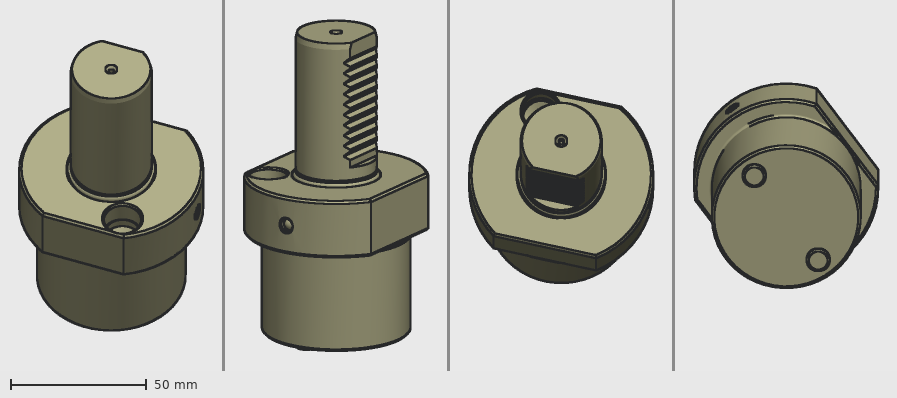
import cadquery as cq
import math


SHANK_DIAMETER = 30.0
SHANK_LENGTH = 55.0
SHANK_TIP_HEIGHT = 2.3
SHANK_TIP_INSET = 0.6
NECK_DEPTH = 0.2
NECK_BOTTOM = 1.4
NECK_TOP = 2.1
RACK_FLAT_Y = 12.0
RACK_FLAT_BOTTOM = 7.0
TOOTH_COUNT = 10
RACK_SPAN = 36.0
TOOTH_PITCH = RACK_SPAN / (TOOTH_COUNT - 1)
TOOTH_DEPTH = 1.6
FIRST_TOOTH_Z = 11.5

CENTRE_MOUTH_DIAMETER = 4.4
CENTRE_BORE_DIAMETER = 2.1
CENTRE_CONE_ANGLE = 90
CENTRE_DEPTH = 4.7

FLANGE_DIAMETER = 68.0
FLANGE_HEIGHT = 21.9
FLANGE_BACK_Y = 28.0
FLANGE_FRONT_Y = -30.0
EDGE_CHAMFER = 0.9

SEAL_CENTRE_RADIUS = 14.7
SEAL_TUBE_RADIUS = 1.5
SEAL_CENTRE_Z = -0.2
SEAL_GROOVE_RADIUS = 16.5
SEAL_GROOVE_DEPTH = 1.2

LOCATING_X = 12.5
LOCATING_Y = -21.8
LOCATING_DIAMETER = 13.7
LOCATING_DEPTH = 8.2
LOCATING_CHAMFER = 0.7
PILOT_DIAMETER = 13.3
PILOT_DEPTH = 11.6
DRILL_POINT_ANGLE = 118

NOZZLE_DIAMETER = 4.9
NOZZLE_CHAMFER = 0.6
BALL_RECESS = 0.6

BODY_DIAMETER = 55.0
BODY_HEIGHT = 38.1
FOOT_DIAMETER = 8.6
FOOT_CHAMFER = 0.8
FOOT_OFFSET_X = 20.0
OVERALL_HEIGHT = 116.5

SHANK_RADIUS = SHANK_DIAMETER / 2
FLANGE_RADIUS = FLANGE_DIAMETER / 2
BODY_RADIUS = BODY_DIAMETER / 2
BODY_BOTTOM = -FLANGE_HEIGHT - BODY_HEIGHT
FOOT_HEIGHT = OVERALL_HEIGHT - SHANK_LENGTH + BODY_BOTTOM


def revolve_profile(profile):
    """Turn a closed (radius, Z) profile on the XZ plane about the Z axis."""
    return profile.close().revolve(360, (0, 0, 0), (0, 1, 0))


def locating_hole():
    """Chamfered hole that steps down to a slightly smaller pilot hole with a drill point."""
    radius = LOCATING_DIAMETER / 2
    pilot_radius = PILOT_DIAMETER / 2
    point_depth = pilot_radius / math.tan(math.radians(DRILL_POINT_ANGLE / 2))
    profile = (
        cq.Workplane("XZ")
        .lineTo(radius + LOCATING_CHAMFER, 0)
        .lineTo(radius, -LOCATING_CHAMFER)
        .lineTo(radius, -LOCATING_DEPTH)
        .lineTo(pilot_radius, -LOCATING_DEPTH)
        .lineTo(pilot_radius, -PILOT_DEPTH)
        .lineTo(0, -PILOT_DEPTH - point_depth)
    )
    return revolve_profile(profile).translate((LOCATING_X, LOCATING_Y, 0))


def flange_blank(bottom, top):
    """Disc with one flat at the back and one at the front."""
    height = top - bottom
    disc = cq.Workplane("XY").workplane(offset=bottom).circle(FLANGE_RADIUS).extrude(height)
    flats = (
        cq.Workplane("XY")
        .box(FLANGE_DIAMETER, FLANGE_BACK_Y - FLANGE_FRONT_Y, height)
        .translate((0, (FLANGE_BACK_Y + FLANGE_FRONT_Y) / 2, (bottom + top) / 2))
    )
    return disc.intersect(flats)


def make_flange():
    return flange_blank(-FLANGE_HEIGHT, 0).faces("<Z or >Z").edges().chamfer(EDGE_CHAMFER)


def make_body():
    """Lower cylinder with a concave fillet under the flange, trimmed by the flange flats."""
    body = (
        cq.Workplane("XY")
        .workplane(offset=BODY_BOTTOM)
        .circle(BODY_RADIUS)
        .extrude(BODY_HEIGHT)
        .faces("<Z")
        .chamfer(EDGE_CHAMFER)
    )
    fillet_bottom = -FLANGE_HEIGHT - EDGE_CHAMFER
    arc_offset = EDGE_CHAMFER * (1 - math.sqrt(0.5))
    fillet_profile = (
        cq.Workplane("XZ")
        .moveTo(0, fillet_bottom)
        .lineTo(BODY_RADIUS, fillet_bottom)
        .threePointArc(
            (BODY_RADIUS + arc_offset, -FLANGE_HEIGHT - arc_offset),
            (BODY_RADIUS + EDGE_CHAMFER, -FLANGE_HEIGHT),
        )
        .lineTo(0, -FLANGE_HEIGHT)
    )
    fillet = revolve_profile(fillet_profile).intersect(flange_blank(fillet_bottom, -FLANGE_HEIGHT))
    return body.union(fillet)


def make_feet():
    return (
        cq.Workplane("XY")
        .workplane(offset=BODY_BOTTOM)
        .pushPoints([(-FOOT_OFFSET_X, 0), (FOOT_OFFSET_X, 0)])
        .circle(FOOT_DIAMETER / 2)
        .extrude(-FOOT_HEIGHT)
        .faces("<Z")
        .chamfer(FOOT_CHAMFER)
    )


def make_shank():
    """Round shank with a tapered tip and a shallow neck, rooted in the flange."""
    neck_radius = SHANK_RADIUS - NECK_DEPTH
    root = -FLANGE_HEIGHT / 2
    profile = (
        cq.Workplane("XZ")
        .moveTo(0, root)
        .lineTo(SHANK_RADIUS, root)
        .lineTo(SHANK_RADIUS, NECK_BOTTOM)
        .lineTo(neck_radius, NECK_BOTTOM)
        .lineTo(neck_radius, NECK_TOP)
        .lineTo(SHANK_RADIUS, NECK_TOP)
        .lineTo(SHANK_RADIUS, SHANK_LENGTH - SHANK_TIP_HEIGHT)
        .lineTo(SHANK_RADIUS - SHANK_TIP_INSET, SHANK_LENGTH)
        .lineTo(0, SHANK_LENGTH)
    )
    return revolve_profile(profile)


def rack_cutter():
    """Flat along the back of the shank with a row of 90-degree V-shaped tooth gaps."""
    profile = cq.Workplane("YZ").moveTo(SHANK_RADIUS, RACK_FLAT_BOTTOM)
    profile = profile.lineTo(RACK_FLAT_Y, RACK_FLAT_BOTTOM)
    for index in range(TOOTH_COUNT):
        gap_z = FIRST_TOOTH_Z + index * TOOTH_PITCH
        profile = (
            profile.lineTo(RACK_FLAT_Y, gap_z - TOOTH_DEPTH)
            .lineTo(RACK_FLAT_Y - TOOTH_DEPTH, gap_z)
            .lineTo(RACK_FLAT_Y, gap_z + TOOTH_DEPTH)
        )
    profile = profile.lineTo(RACK_FLAT_Y, SHANK_LENGTH).lineTo(SHANK_RADIUS, SHANK_LENGTH)
    return profile.close().extrude(SHANK_RADIUS, both=True)


def centre_hole():
    mouth_radius = CENTRE_MOUTH_DIAMETER / 2
    bore_radius = CENTRE_BORE_DIAMETER / 2
    cone_depth = (mouth_radius - bore_radius) / math.tan(math.radians(CENTRE_CONE_ANGLE / 2))
    profile = (
        cq.Workplane("XZ")
        .moveTo(0, SHANK_LENGTH)
        .lineTo(mouth_radius, SHANK_LENGTH)
        .lineTo(bore_radius, SHANK_LENGTH - cone_depth)
        .lineTo(bore_radius, SHANK_LENGTH - CENTRE_DEPTH)
        .lineTo(0, SHANK_LENGTH - CENTRE_DEPTH)
    )
    return revolve_profile(profile)


def seal_groove():
    return cq.Workplane("XY").circle(SEAL_GROOVE_RADIUS).extrude(-SEAL_GROOVE_DEPTH)


def make_seal():
    return (
        cq.Workplane("XZ")
        .center(SEAL_CENTRE_RADIUS, SEAL_CENTRE_Z)
        .circle(SEAL_TUBE_RADIUS)
        .revolve(360, (-SEAL_CENTRE_RADIUS, 0, 0), (-SEAL_CENTRE_RADIUS, 1, 0))
    )


def nozzle_socket(side):
    """Chamfered socket on the -X (side = -1) or +X (side = 1) face, leaving a ball at its bottom."""
    radius = NOZZLE_DIAMETER / 2
    arc_offset = radius * math.sqrt(0.5)
    ball_centre = -BALL_RECESS - radius
    profile = (
        cq.Workplane("XZ")
        .lineTo(radius + NOZZLE_CHAMFER, 0)
        .lineTo(radius, -NOZZLE_CHAMFER)
        .lineTo(radius, ball_centre)
        .threePointArc((arc_offset, ball_centre + arc_offset), (0, -BALL_RECESS))
    )
    socket = revolve_profile(profile).rotate((0, 0, 0), (0, 1, 0), side * 90)
    return socket.translate((side * FLANGE_RADIUS, 0, -FLANGE_HEIGHT / 2))


flange = make_flange().cut(seal_groove()).cut(locating_hole())
for side in (-1, 1):
    flange = flange.cut(nozzle_socket(side))

shank = make_shank().cut(rack_cutter()).cut(centre_hole())
result = flange.union(make_body()).union(make_feet()).union(shank).union(make_seal())